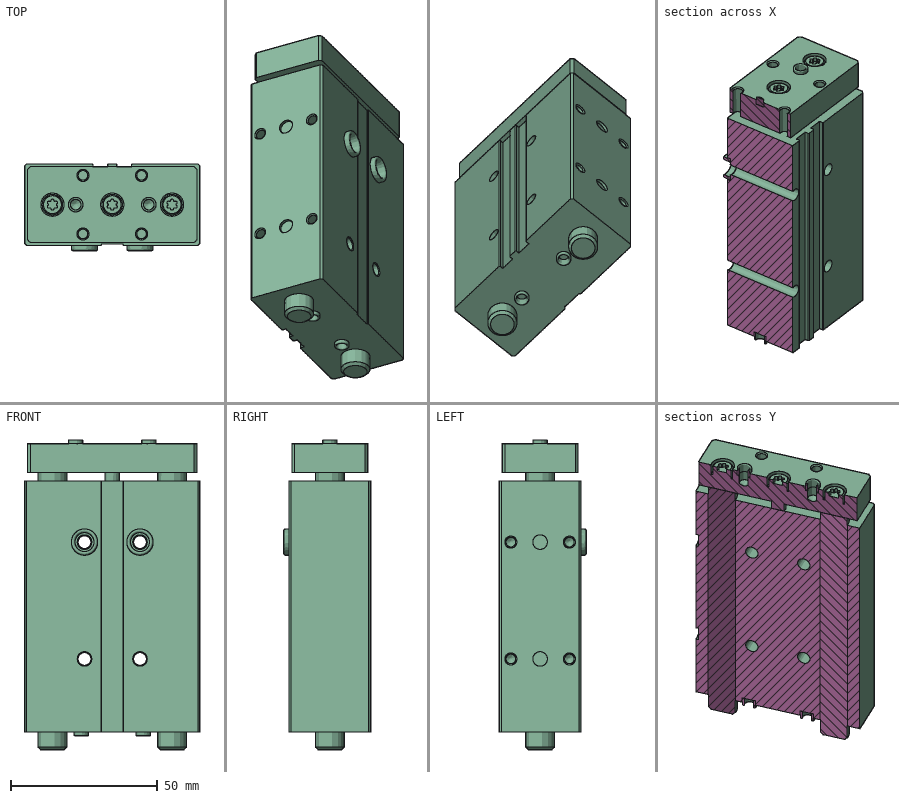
import cadquery as cq
import math

HOUSING_WIDTH = 60.0
HOUSING_DEPTH = 28.0
HOUSING_HEIGHT = 86.0
HOUSING_CHAMFER = 0.7
FRONT_FACE_Y = -HOUSING_DEPTH / 2
BACK_FACE_Y = HOUSING_DEPTH / 2
LEFT_FACE_X = -HOUSING_WIDTH / 2

FRONT_GROOVE_WIDTH = 7.2
FRONT_GROOVE_DEPTH = 0.5
BACK_SLOT_WIDTH = 13.2
BACK_SLOT_DEPTH = 1.5
BACK_RIB_WIDTH = 3.2
GROOVE_EDGE_CHAMFER = 0.3

ROW_SPACING = 40.0
UPPER_ROW_DROP = 21.0
UPPER_ROW_Z = HOUSING_HEIGHT - UPPER_ROW_DROP
ROW_HEIGHTS = (UPPER_ROW_Z - ROW_SPACING, UPPER_ROW_Z)

FRONT_HOLE_SPACING = 19.0
FRONT_HOLE_DIAMETER = 4.4
FRONT_HOLE_RIM = 5.0

SMALL_HOLE_SPACING = 20.0
SMALL_HOLE_DIAMETER = 3.3
SMALL_HOLE_RIM = 4.1
SIDE_HOLE_DEPTH = 8.0
DRILL_TIP_ANGLE = 118

SIDE_RECESS_DIAMETER = 5.0
SIDE_RECESS_DEPTH = 1.0

PLATE_GAP = 2.8
PLATE_WIDTH = 58.0
PLATE_DEPTH = 26.0
PLATE_THICKNESS = 10.0
PLATE_CHAMFER = 1.0
PLATE_BOTTOM_Z = HOUSING_HEIGHT + PLATE_GAP
PLATE_TOP_Z = PLATE_BOTTOM_Z + PLATE_THICKNESS

ROD_DIAMETER = 10.0
ROD_OFFSET = 20.5
ROD_OVERHANG = 6.0
ROD_CHAMFER = 1.0
PISTON_ROD_DIAMETER = 5.0

SCREW_RECESS_DIAMETER = 8.0
SCREW_HEAD_DIAMETER = 7.0
SCREW_RECESS_DEPTH = 4.0
SCREW_HEAD_SINK = 0.4
SCREW_HEAD_CHAMFER = 0.4
SOCKET_ROOT_DIAMETER = 2.8
SOCKET_LOBE_DIAMETER = 3.8
SOCKET_LOBE_WIDTH = 1.1
SOCKET_DEPTH = 1.5
SOCKET_LOBES = 6

SMALL_SLEEVE_DIAMETER = 5.0
SMALL_SLEEVE_BORE = 3.6
SMALL_SLEEVE_SEAT = 1.8
TOP_SLEEVE_OFFSET = 12.5
SMALL_SLEEVE_PROTRUSION = 1.3
TOP_SLEEVE_HOLE_DEPTH = 5.3
BOTTOM_SLEEVE_OFFSET = 10.6

FRONT_SLEEVE_DIAMETER = 9.0
FRONT_SLEEVE_BORE = 6.5
FRONT_SLEEVE_SEAT = 1.2
FRONT_SLEEVE_PROTRUSION = 1.8

UP = cq.Vector(0, 0, 1)
DOWN = cq.Vector(0, 0, -1)
FRONT = cq.Vector(0, -1, 0)
BACK = cq.Vector(0, 1, 0)
RIGHT = cq.Vector(1, 0, 0)


def cylinder(diameter, start, direction, length):
    """A round bar from `start`, running along `direction`."""
    return cq.Workplane(cq.Solid.makeCylinder(diameter / 2, length, cq.Vector(*start), direction))


def cone(wide_diameter, narrow_diameter, start, direction, length):
    """A tapered bar whose wide end is at `start`."""
    return cq.Workplane(
        cq.Solid.makeCone(wide_diameter / 2, narrow_diameter / 2, length, cq.Vector(*start), direction)
    )


def rim_countersink(hole_diameter, rim_diameter, mouth, inward):
    """The 45-degree countersink at the mouth of a hole."""
    return cone(rim_diameter, hole_diameter, mouth, inward, (rim_diameter - hole_diameter) / 2)


def drilled_hole(diameter, mouth, inward, depth):
    """A blind hole, with the conical tip that a drill leaves below `depth`."""
    tip_length = diameter / 2 / math.tan(math.radians(DRILL_TIP_ANGLE / 2))
    tip_start = cq.Vector(*mouth) + inward * depth
    return cylinder(diameter, mouth, inward, depth).union(
        cone(diameter, 0, tip_start.toTuple(), inward, tip_length)
    )


def mirrored(offset):
    """The two positions at equal distance on either side of zero."""
    return (-offset, offset)


def channel(width, depth, face_y, inward):
    """A full-height channel cut into the face at `face_y`, with both mouth edges chamfered."""
    half = width / 2
    mouth_half = half + GROOVE_EDGE_CHAMFER
    shoulder_y = face_y + inward * GROOVE_EDGE_CHAMFER
    floor_y = face_y + inward * depth
    return (
        cq.Workplane("XY")
        .moveTo(-mouth_half, face_y)
        .lineTo(-half, shoulder_y)
        .lineTo(-half, floor_y)
        .lineTo(half, floor_y)
        .lineTo(half, shoulder_y)
        .lineTo(mouth_half, face_y)
        .close()
        .extrude(HOUSING_HEIGHT)
    )


def back_rib():
    """The rib on the floor of the back slot, level with the back face and chamfered along its edges."""
    return (
        cq.Workplane("XY")
        .box(BACK_RIB_WIDTH, BACK_SLOT_DEPTH, HOUSING_HEIGHT, centered=(True, False, False))
        .translate((0, BACK_FACE_Y - BACK_SLOT_DEPTH, 0))
        .faces(">Y")
        .edges("|Z")
        .chamfer(GROOVE_EDGE_CHAMFER)
    )


def build_housing():
    housing = (
        cq.Workplane("XY")
        .box(HOUSING_WIDTH, HOUSING_DEPTH, HOUSING_HEIGHT, centered=(True, True, False))
        .edges("|Z")
        .chamfer(HOUSING_CHAMFER)
    )
    housing = housing.cut(channel(FRONT_GROOVE_WIDTH, FRONT_GROOVE_DEPTH, FRONT_FACE_Y, 1))
    housing = housing.cut(channel(BACK_SLOT_WIDTH, BACK_SLOT_DEPTH, BACK_FACE_Y, -1))
    housing = housing.union(back_rib())

    for x in mirrored(ROD_OFFSET):
        housing = housing.cut(cylinder(ROD_DIAMETER, (x, 0, 0), UP, HOUSING_HEIGHT))

    for x in mirrored(FRONT_HOLE_SPACING / 2):
        for z in ROW_HEIGHTS:
            mouth = (x, FRONT_FACE_Y, z)
            housing = housing.cut(cylinder(FRONT_HOLE_DIAMETER, mouth, BACK, HOUSING_DEPTH))
            housing = housing.cut(rim_countersink(FRONT_HOLE_DIAMETER, FRONT_HOLE_RIM, mouth, BACK))
        seat_mouth = (x, FRONT_FACE_Y, UPPER_ROW_Z)
        housing = housing.cut(cylinder(FRONT_SLEEVE_DIAMETER, seat_mouth, BACK, FRONT_SLEEVE_SEAT))
        seat_floor = (x, FRONT_FACE_Y + FRONT_SLEEVE_SEAT, UPPER_ROW_Z)
        housing = housing.cut(rim_countersink(FRONT_HOLE_DIAMETER, FRONT_HOLE_RIM, seat_floor, BACK))

    for z in ROW_HEIGHTS:
        for y in mirrored(SMALL_HOLE_SPACING / 2):
            mouth = (LEFT_FACE_X, y, z)
            housing = housing.cut(drilled_hole(SMALL_HOLE_DIAMETER, mouth, RIGHT, SIDE_HOLE_DEPTH))
            housing = housing.cut(rim_countersink(SMALL_HOLE_DIAMETER, SMALL_HOLE_RIM, mouth, RIGHT))
        housing = housing.cut(
            cylinder(SIDE_RECESS_DIAMETER, (LEFT_FACE_X, 0, z), RIGHT, SIDE_RECESS_DEPTH)
        )

    for x in mirrored(BOTTOM_SLEEVE_OFFSET):
        housing = housing.cut(cylinder(SMALL_SLEEVE_DIAMETER, (x, 0, 0), UP, SMALL_SLEEVE_SEAT))
    return housing


def star_socket(x, top_z):
    """The six-lobed driver socket sunk into a screw head."""
    floor_z = top_z - SOCKET_DEPTH
    socket = cylinder(SOCKET_ROOT_DIAMETER, (x, 0, floor_z), UP, SOCKET_DEPTH)
    for lobe in range(SOCKET_LOBES // 2):
        bar = (
            cq.Workplane("XY")
            .slot2D(SOCKET_LOBE_DIAMETER, SOCKET_LOBE_WIDTH, 90 + lobe * 360 / SOCKET_LOBES)
            .extrude(SOCKET_DEPTH)
            .translate((x, 0, floor_z))
        )
        socket = socket.union(bar)
    return socket


def build_plate():
    plate = (
        cq.Workplane("XY")
        .box(PLATE_WIDTH, PLATE_DEPTH, PLATE_THICKNESS, centered=(True, True, False))
        .edges("|Z")
        .chamfer(PLATE_CHAMFER)
        .translate((0, 0, PLATE_BOTTOM_Z))
    )
    plate = plate.union(cylinder(PISTON_ROD_DIAMETER, (0, 0, HOUSING_HEIGHT), UP, PLATE_GAP))

    for x in mirrored(SMALL_HOLE_SPACING / 2):
        for y in mirrored(SMALL_HOLE_SPACING / 2):
            mouth = (x, y, PLATE_TOP_Z)
            plate = plate.cut(cylinder(SMALL_HOLE_DIAMETER, mouth, DOWN, PLATE_THICKNESS))
            plate = plate.cut(rim_countersink(SMALL_HOLE_DIAMETER, SMALL_HOLE_RIM, mouth, DOWN))

    for x in mirrored(TOP_SLEEVE_OFFSET):
        mouth = (x, 0, PLATE_TOP_Z)
        plate = plate.cut(drilled_hole(SMALL_SLEEVE_BORE, mouth, DOWN, TOP_SLEEVE_HOLE_DEPTH))
        plate = plate.cut(cylinder(SMALL_SLEEVE_DIAMETER, mouth, DOWN, SMALL_SLEEVE_SEAT))

    head_height = SCREW_RECESS_DEPTH - SCREW_HEAD_SINK
    for x in (-ROD_OFFSET, 0, ROD_OFFSET):
        recess = cylinder(SCREW_RECESS_DIAMETER, (x, 0, PLATE_TOP_Z), DOWN, SCREW_RECESS_DEPTH)
        head = cylinder(SCREW_HEAD_DIAMETER, (x, 0, PLATE_TOP_Z - SCREW_RECESS_DEPTH), UP, head_height)
        head = head.faces(">Z").chamfer(SCREW_HEAD_CHAMFER)
        plate = plate.cut(recess).union(head).cut(star_socket(x, PLATE_TOP_Z - SCREW_HEAD_SINK))
    return plate


def build_guide_rod(x):
    """A guide rod from below the housing up to the underside of the plate."""
    length = ROD_OVERHANG + PLATE_BOTTOM_Z
    return cylinder(ROD_DIAMETER, (x, 0, -ROD_OVERHANG), UP, length).faces("<Z").chamfer(ROD_CHAMFER)


def build_sleeve(diameter, bore, seat_floor, outward, length):
    """A ring standing on the floor of its seat, with its free end fully rounded."""
    outer = diameter / 2
    inner = bore / 2
    end_radius = (outer - inner) / 2
    shoulder = length - end_radius
    plane = cq.Plane(origin=seat_floor, xDir=cq.Vector(1, 0, 0), normal=outward)
    ring = (
        cq.Workplane("XZ")
        .moveTo(inner, 0)
        .lineTo(outer, 0)
        .lineTo(outer, shoulder)
        .threePointArc((inner + end_radius, length), (inner, shoulder))
        .close()
        .revolve(360, (0, 0), (0, 1))
    )
    return cq.Workplane(ring.val().moved(cq.Location(plane)))


def build_small_sleeve(seat_floor, outward):
    length = SMALL_SLEEVE_SEAT + SMALL_SLEEVE_PROTRUSION
    return build_sleeve(SMALL_SLEEVE_DIAMETER, SMALL_SLEEVE_BORE, seat_floor, outward, length)


def build_top_sleeve(x):
    return build_small_sleeve((x, 0, PLATE_TOP_Z - SMALL_SLEEVE_SEAT), UP)


def build_bottom_sleeve(x):
    return build_small_sleeve((x, 0, SMALL_SLEEVE_SEAT), DOWN)


def build_front_sleeve(x):
    seat_floor = (x, FRONT_FACE_Y + FRONT_SLEEVE_SEAT, UPPER_ROW_Z)
    length = FRONT_SLEEVE_SEAT + FRONT_SLEEVE_PROTRUSION
    return build_sleeve(FRONT_SLEEVE_DIAMETER, FRONT_SLEEVE_BORE, seat_floor, FRONT, length)


housing = build_housing()
plate = build_plate()
guide_rods = [build_guide_rod(x) for x in mirrored(ROD_OFFSET)]
top_sleeves = [build_top_sleeve(x) for x in mirrored(TOP_SLEEVE_OFFSET)]
bottom_sleeves = [build_bottom_sleeve(x) for x in mirrored(BOTTOM_SLEEVE_OFFSET)]
front_sleeves = [build_front_sleeve(x) for x in mirrored(FRONT_HOLE_SPACING / 2)]

bodies = [housing, plate, *guide_rods, *top_sleeves, *bottom_sleeves, *front_sleeves]
result = cq.Compound.makeCompound([body.val() for body in bodies])